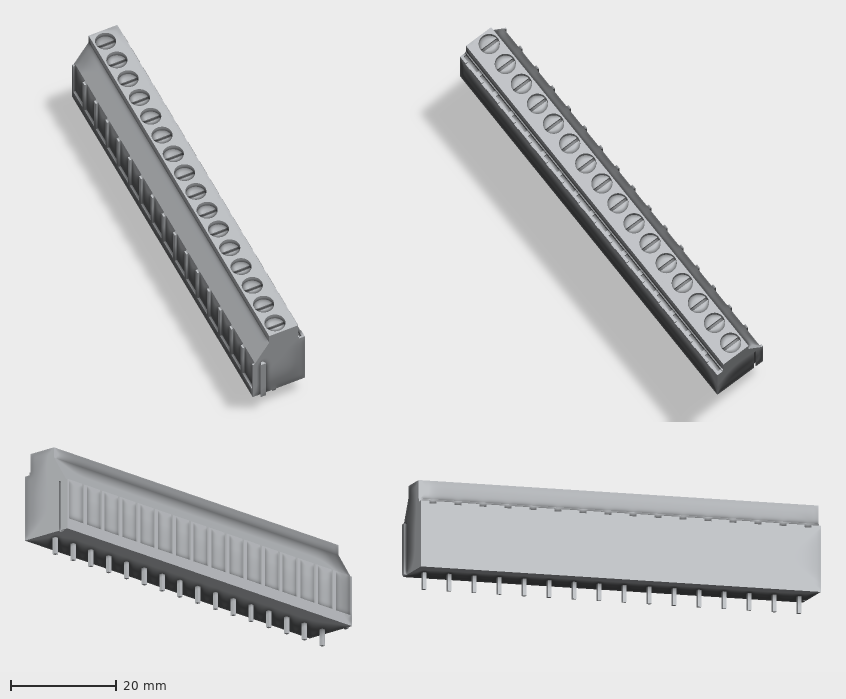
import cadquery as cq

pole_count = 16
pitch = 5.0
body_length = pole_count * pitch
pole_shift = 0.1

body_depth = 11.0
body_height = 17.0
top_front = 3.5
top_back = 9.5
slope_top = 15.0
slope_foot_y = 0.3
front_height = 9.9
shelf_height = 12.8
step_width = 0.25
step_height = 0.6

window_width = 4.2
window_sill = 2.1
window_depth = 0.5

screw_y = 5.8
screw_diameter = 4.0
screw_recess = 1.1
driver_slot_width = 0.65
driver_slot_depth = 0.65

marker_width = 4.0
marker_front = 9.75
marker_back = 10.4
marker_mouth_width = 1.4
marker_depth = 0.5

pin_size = 0.7
pin_length = 3.3
pin_y = 5.5

dovetail_y = 1.9
dovetail_neck = 0.4
dovetail_head = 1.1
dovetail_reach = 0.65

pole_centers = [(i + 0.5) * pitch + pole_shift for i in range(pole_count)]


def box(width, depth, height, x_center, y_min, z_min):
    """Box centred on x_center that starts at y_min and z_min."""
    block = cq.Workplane("XY").box(width, depth, height, centered=(True, False, False))
    return block.translate((x_center, y_min, z_min))


def at_each_pole(make_feature):
    """Gather one copy of a feature per pole."""
    shapes = [make_feature(x).val() for x in pole_centers]
    return cq.Workplane("XY").newObject([cq.Compound.makeCompound(shapes)])


def housing():
    profile = [
        (0, 0),
        (body_depth, 0),
        (body_depth, shelf_height),
        (top_back + step_width, shelf_height),
        (top_back + step_width, shelf_height + step_height),
        (top_back, shelf_height + step_height),
        (top_back, body_height),
        (top_front, body_height),
        (top_front, slope_top),
        (slope_foot_y, front_height),
        (0, front_height),
    ]
    return cq.Workplane("YZ").polyline(profile).close().extrude(body_length)


def window(x):
    return box(window_width, window_depth, slope_top - window_sill, x, 0, window_sill)


def screw_recess_hole(x):
    floor = body_height - screw_recess
    return cq.Workplane("XY", origin=(x, screw_y, floor)).circle(screw_diameter / 2).extrude(screw_recess)


def driver_slot(x):
    slot_floor = body_height - screw_recess - driver_slot_depth
    slot_front = screw_y - screw_diameter / 2
    bar = box(driver_slot_width, screw_diameter, driver_slot_depth, x, slot_front, slot_floor)
    head = screw_recess_hole(x).translate((0, 0, -screw_recess))
    return bar.intersect(head)


def marker_pocket(x):
    floor = shelf_height - marker_depth
    wide = box(marker_width, marker_back - marker_front, marker_depth, x, marker_front, floor)
    mouth = box(marker_mouth_width, body_depth - marker_back, marker_depth, x, marker_back, floor)
    return wide.union(mouth)


def pin(x):
    return box(pin_size, pin_size, pin_length, x, pin_y - pin_size / 2, -pin_length)


def dovetail(x_face):
    """Vertical dovetail that widens in +X from its neck at x_face."""
    outline = [
        (x_face, dovetail_y - dovetail_neck / 2),
        (x_face + dovetail_reach, dovetail_y - dovetail_head / 2),
        (x_face + dovetail_reach, dovetail_y + dovetail_head / 2),
        (x_face, dovetail_y + dovetail_neck / 2),
    ]
    return cq.Workplane("XY").polyline(outline).close().extrude(front_height)


result = housing()
for cutter in (window, screw_recess_hole, driver_slot, marker_pocket):
    result = result.cut(at_each_pole(cutter))
result = result.cut(dovetail(0))
result = result.union(dovetail(body_length))
result = result.union(at_each_pole(pin))